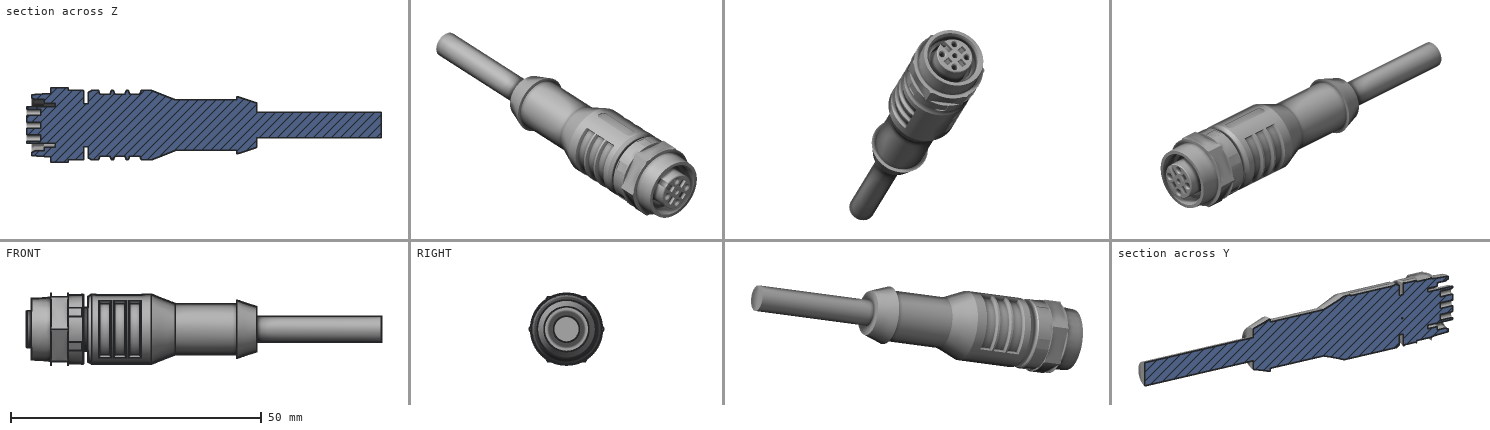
import cadquery as cq
import math


sleeve_front = 1.0
nut_front = 4.8
nut_back = 8.4
ring_back = 11.5
body_front = 12.3
body_full = 13.05
body_taper = 25.0
neck_front = 29.75
flare_front = 42.0
flare_back = 46.1
cable_end = 71.0

sleeve_front_d = 12.3
sleeve_back_d = 12.8
ring_d = 14.0
collar_d = 8.7
body_front_d = 13.05
body_d = 14.0
neck_d = 10.2
flare_front_d = 11.65
flare_back_d = 8.95
cable_d = 5.2

nut_corner_d = 15.0
flange_d = 14.35
flange_thickness = 0.15

mouth_d = 10.9
socket_d = 10.2
socket_floor_d = 8.7
mouth_depth = 0.7
socket_step = 3.55
socket_depth = 5.7

insert_d = 7.4
insert_chamfer = 0.15
contact_count = 4
contact_d = 1.15
contact_depth = 2.85
contact_radius = 2.55
countersink_d = 1.55
slot_width = 1.15
slot_inner_radius = 1.3
slot_outer_radius = 2.8
slot_depth = 0.7
key_depth = 2.85

ring_chamfer = 0.2
notch_count = 6
notch_width = 2.0
notch_depth = 0.2
notch_back = 11.1

groove_count = 3
groove_first = 14.4
groove_pitch = 3.0
groove_width = 2.55
groove_floor_width = 2.0
groove_depth = 0.7
groove_half_height = 5.7

panel_front = 13.5
panel_back = 23.6
panel_width = 2.0
panel_corner = 0.5
panel_depth = 0.2

X_AXIS = ((0, 0, 0), (1, 0, 0))


def turned(points):
    """Solid of revolution about X from (x, diameter) points listed front to back."""
    outline = [(points[0][0], 0)]
    outline += [(x, diameter / 2) for x, diameter in points]
    outline.append((points[-1][0], 0))
    return cq.Workplane("XY").polyline(outline).close().revolve(360, (0, 0), (1, 0))


def around_axis(shape, angle):
    return shape.rotate(*X_AXIS, angle)


def bar(x_front, x_back, width, z_bottom, z_top):
    """Box centred on Y = 0."""
    return cq.Workplane("XY").box(
        x_back - x_front, width, z_top - z_bottom, centered=(False, True, False)
    ).translate((x_front, 0, z_bottom))


def turned_envelope():
    return turned([
        (sleeve_front, sleeve_front_d),
        (nut_front, sleeve_back_d),
        (nut_back, sleeve_back_d),
        (nut_back, ring_d),
        (ring_back - ring_chamfer, ring_d),
        (ring_back, ring_d - 2 * ring_chamfer),
        (ring_back, collar_d),
        (body_front, collar_d),
        (body_front, body_front_d),
        (body_full, body_d),
        (body_taper, body_d),
        (neck_front, neck_d),
        (flare_front, neck_d),
        (flare_front, flare_front_d),
        (flare_back, flare_back_d),
        (flare_back, cable_d),
        (cable_end, cable_d),
    ])


def hex_nut():
    """Hexagon with two corners on Y and two flats square to Z."""
    length = nut_back - nut_front
    nut = cq.Workplane("YZ", origin=(nut_front, 0, 0)).polygon(6, nut_corner_d).extrude(length)
    for x in (nut_front, nut_back - flange_thickness):
        flange = turned([(x, flange_d), (x + flange_thickness, flange_d)])
        nut = nut.union(flange)
    return nut


def ring_notches():
    floor = ring_d / 2 - notch_depth
    notch = bar(nut_back, notch_back, notch_width, floor, ring_d)
    notches = cq.Workplane("XY")
    for i in range(notch_count):
        notches = notches.add(around_axis(notch, i * 360 / notch_count))
    return notches.combine()


def socket():
    return turned([
        (sleeve_front, mouth_d),
        (sleeve_front + mouth_depth, socket_d),
        (socket_step, socket_d),
        (socket_step, socket_floor_d),
        (socket_depth, socket_floor_d),
    ])


def contact_hole():
    sink = (countersink_d - contact_d) / 2
    return turned([(0, countersink_d), (sink, contact_d), (contact_depth, contact_d)])


def contact_insert():
    """Plug with a centre hole, four contacts, four diagonal slots and one keyway."""
    insert = turned([
        (0, insert_d - 2 * insert_chamfer),
        (insert_chamfer, insert_d),
        (socket_depth, insert_d),
    ])
    insert = insert.cut(turned([(0, contact_d), (contact_depth, contact_d)]))
    contact = contact_hole().translate((0, 0, contact_radius))
    slot = bar(0, slot_depth, slot_width, slot_inner_radius, slot_outer_radius)
    step = 360 / contact_count
    for i in range(contact_count):
        insert = insert.cut(around_axis(contact, i * step))
        insert = insert.cut(around_axis(slot, (i + 0.5) * step))
    keyway = bar(0, key_depth, slot_width, slot_outer_radius, insert_d)
    return insert.cut(around_axis(keyway, -step / 2))


def grip_grooves():
    """Tapered grooves swept about the axis, centred on the +Y and -Y flanks."""
    top = body_d / 2
    floor = top - groove_depth
    slope = (groove_width - groove_floor_width) / 2
    half_angle = math.degrees(math.asin(groove_half_height / top))
    profile = [(0, top), (slope, floor), (groove_width - slope, floor), (groove_width, top)]
    overlap = 0.1
    profile += [(groove_width, top + overlap), (0, top + overlap)]
    groove = cq.Workplane("XY").polyline(profile).close().revolve(2 * half_angle, (0, 0), (1, 0))
    groove = around_axis(groove, -half_angle)
    grooves = cq.Workplane("XY")
    for i in range(groove_count):
        placed = groove.translate((groove_first + i * groove_pitch, 0, 0))
        grooves = grooves.add(placed).add(around_axis(placed, 180))
    return grooves.combine()


def marking_panel():
    panel = bar(panel_front, panel_back, panel_width, body_d / 2 - panel_depth, body_d)
    return panel.edges("|Z").chamfer(panel_corner)


result = (
    turned_envelope()
    .cut(ring_notches())
    .union(hex_nut())
    .cut(socket())
    .union(contact_insert())
    .cut(grip_grooves())
    .cut(marking_panel())
)